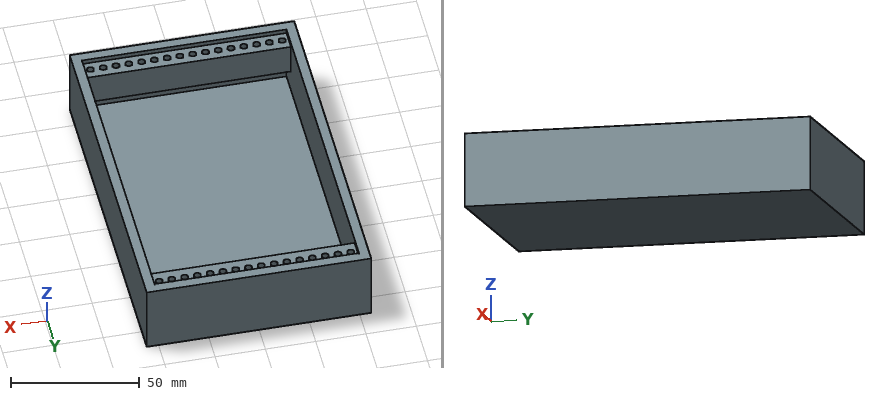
import cadquery as cq

width = 89.3
length = 138.0
height = 29.0
wall = 4.0
floor = 4.0

rail_depth = 8.0
rail_height = 13.1
rail_drop = 2.0

holes_per_rail = 16
hole_diameter = 2.8
back_hole_offset = 3.3
front_hole_offset = 3.7

inner_width = width - 2 * wall
inner_length = length - 2 * wall
hole_pitch = inner_width / holes_per_rail
rail_top = height - rail_drop


def make_box():
    """Box centred on X and Y, with its underside at Z = 0 and an open top."""
    outer = cq.Workplane("XY").box(width, length, height, centered=(True, True, False))
    cavity = (
        cq.Workplane("XY")
        .workplane(offset=floor)
        .rect(inner_width, inner_length)
        .extrude(height - floor)
    )
    return outer.cut(cavity)


def make_rail(side, hole_offset):
    """Perforated rail against the end wall at +Y (side = 1) or -Y (side = -1)."""
    end_face = side * inner_length / 2
    bar = (
        cq.Workplane("XY")
        .workplane(offset=rail_top - rail_height)
        .center(0, end_face - side * rail_depth / 2)
        .rect(inner_width, rail_depth)
        .extrude(rail_height)
    )
    holes = (
        cq.Workplane("XY")
        .workplane(offset=rail_top - rail_height)
        .center(0, end_face - side * hole_offset)
        .rarray(hole_pitch, 1.4, holes_per_rail, 1)
        .circle(hole_diameter / 2)
        .extrude(rail_height)
    )
    return bar.cut(holes)


result = make_box()
for side, hole_offset in ((-1, front_hole_offset), (1, back_hole_offset)):
    result = result.union(make_rail(side, hole_offset))